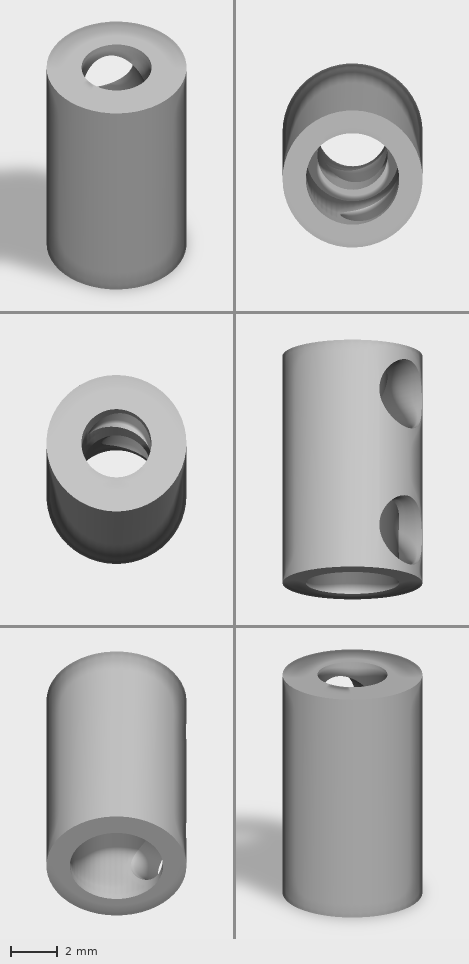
import cadquery as cq

length = 10
outer_diameter = 6
bore_diameter = 3

counterbore_diameter = 4
counterbore_depth = length / 2

side_hole_diameter = 3
lower_hole_height = 1.9
side_hole_spacing = 6


def sleeve():
    """Round tube standing on the XY plane, with its axis along Z."""
    return (
        cq.Workplane("XY")
        .circle(outer_diameter / 2)
        .circle(bore_diameter / 2)
        .extrude(length)
    )


def counterbore():
    """Cutter that widens the lower part of the bore."""
    return cq.Workplane("XY").circle(counterbore_diameter / 2).extrude(counterbore_depth)


def side_hole(height):
    """Cutter running from the sleeve axis out through the -X wall."""
    return (
        cq.Workplane("YZ")
        .center(0, height)
        .circle(side_hole_diameter / 2)
        .extrude(-outer_diameter / 2)
    )


result = sleeve().cut(counterbore())
for index in range(2):
    result = result.cut(side_hole(lower_hole_height + index * side_hole_spacing))